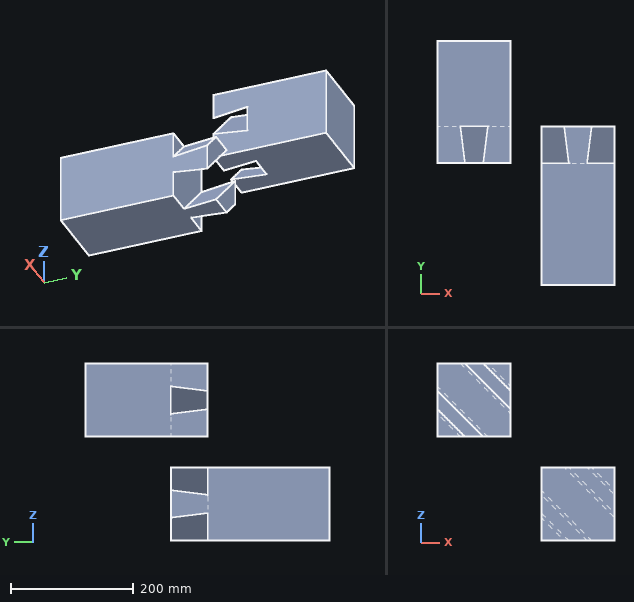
import cadquery as cq

side = 120.0
beam_length = 200.0
tail_length = 60.0
beam_offset = 170.0

neck_width = side / 4
tip_width = 1.5 * neck_width

joint_y = beam_length


def beam(start_y, length):
    """Square beam along Y, with one edge on the Y axis."""
    return cq.Workplane("XY").box(side, length, side, centered=False).translate((0, start_y, 0))


def dovetail_bar(center_x):
    """Dovetail outline in the plane of the top face, swept diagonally down towards +X."""
    tip_y = joint_y + tail_length
    outline = cq.Wire.makePolygon(
        [
            cq.Vector(center_x - neck_width / 2, joint_y, side),
            cq.Vector(center_x + neck_width / 2, joint_y, side),
            cq.Vector(center_x + tip_width / 2, tip_y, side),
            cq.Vector(center_x - tip_width / 2, tip_y, side),
        ],
        close=True,
    )
    return cq.Workplane(cq.Solid.extrudeLinear(outline, [], cq.Vector(side, 0, -side)))


def dovetail_bars():
    """Two parallel bars: top face to +X face, and -X face to bottom face."""
    return [dovetail_bar(center_x) for center_x in (side / 2, -side / 2)]


def make_socket_beam():
    """Upper beam with two diagonal dovetail sockets in its -Y end."""
    body = beam(joint_y, beam_length)
    for bar in dovetail_bars():
        body = body.cut(bar)
    return body.translate((0, 0, beam_offset))


def make_tail_beam():
    """Lower beam with two diagonal dovetail tails on its +Y end."""
    body = beam(joint_y - beam_length, beam_length)
    tail_space = beam(joint_y, tail_length)
    for bar in dovetail_bars():
        body = body.union(bar.intersect(tail_space))
    return body.translate((beam_offset, 0, 0))


socket_beam = make_socket_beam()
tail_beam = make_tail_beam()

result = cq.Compound.makeCompound([socket_beam.solids().val(), tail_beam.solids().val()])